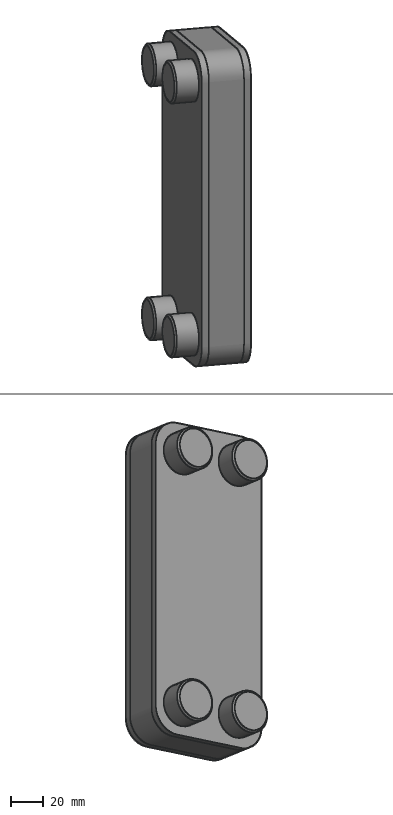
import cadquery as cq

width = 81.0
height = 203.0
overall_depth = 48.0
corner_radius = 16.0
plate_thickness = 4.7
core_depth = 23.0

port_diameter = 27.0
port_length = overall_depth - core_depth - 2 * plate_thickness
port_chamfer = 1.2
port_spacing_x = 42.0
port_spacing_z = 164.0

front_plate_y = 0.0
core_y = front_plate_y + plate_thickness
back_plate_y = core_y + core_depth


def make_layer(front_y, depth):
    """Rounded rectangular slab reaching from front_y towards +Y."""
    return (
        cq.Workplane("XZ", origin=(0, front_y, 0))
        .rect(width, height)
        .extrude(-depth)
        .edges("|Y")
        .fillet(corner_radius)
    )


def make_port(x, z):
    """Solid round port standing on the front plate, chamfered at its free end."""
    return (
        cq.Workplane("XZ", origin=(x, front_plate_y, z))
        .circle(port_diameter / 2)
        .extrude(port_length)
        .faces("<Y")
        .chamfer(port_chamfer)
    )


front_plate = make_layer(front_plate_y, plate_thickness)
core = make_layer(core_y, core_depth)
back_plate = make_layer(back_plate_y, plate_thickness)

ports = []
for x_side in (-1, 1):
    for z_side in (-1, 1):
        port = make_port(x_side * port_spacing_x / 2, z_side * port_spacing_z / 2)
        ports.append(port.val())

result = cq.Compound.makeCompound([front_plate.val(), core.val(), back_plate.val(), *ports])